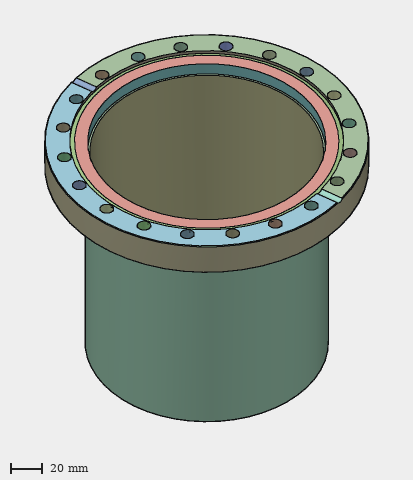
import cadquery as cq
import math

flange_diameter = 203.0
flange_thickness = 22.0
edge_chamfer = 0.5
bore_diameter = 149.0

recess_diameter = 171.3
knife_diameter = 165.5
recess_depth = 2.2
knife_depth = 1.2

bolt_count = 20
bolt_circle_diameter = 181.0
bolt_hole_diameter = 8.5

groove_width = 5.3
groove_depth = 1.2

tube_outer_diameter = 152.5
tube_inner_diameter = 146.4
socket_diameter = 152.9
total_height = 167.0
tube_top_below_face = 9.5

flange_bottom = total_height - flange_thickness
tube_top = total_height - tube_top_below_face


def make_flange_ring():
    """Revolve the flange section: socket, bore, knife edge, recess and rim."""
    rim_radius = flange_diameter / 2
    profile = [
        (socket_diameter / 2, flange_bottom),
        (rim_radius - edge_chamfer, flange_bottom),
        (rim_radius, flange_bottom + edge_chamfer),
        (rim_radius, total_height - edge_chamfer),
        (rim_radius - edge_chamfer, total_height),
        (recess_diameter / 2, total_height),
        (recess_diameter / 2, total_height - recess_depth),
        (knife_diameter / 2, total_height - knife_depth),
        (bore_diameter / 2, total_height - knife_depth),
        (bore_diameter / 2, tube_top),
        (socket_diameter / 2, tube_top),
    ]
    return cq.Workplane("XZ").polyline(profile).close().revolve(360, (0, 0, 0), (0, 1, 0))


def make_bolt_holes():
    """Through holes on the bolt circle, straddling the X and Y axes."""
    half_pitch = 180 / bolt_count
    return (
        cq.Workplane("XY")
        .workplane(offset=flange_bottom)
        .polarArray(bolt_circle_diameter / 2, half_pitch, 360, bolt_count)
        .circle(bolt_hole_diameter / 2)
        .extrude(flange_thickness)
    )


def make_groove_cutter(direction):
    """Round-bottomed groove from the recess out through the rim, along +X or -X."""
    groove_radius = ((groove_width / 2) ** 2 + groove_depth ** 2) / (2 * groove_depth)
    axis_height = total_height - groove_depth + groove_radius
    start = math.sqrt((recess_diameter / 2) ** 2 - (groove_width / 2) ** 2)
    return (
        cq.Workplane("YZ")
        .workplane(offset=direction * start)
        .center(0, axis_height)
        .circle(groove_radius)
        .extrude(direction * (flange_diameter / 2 - start))
    )


def make_flange():
    flange = make_flange_ring().cut(make_bolt_holes())
    for direction in (-1, 1):
        flange = flange.cut(make_groove_cutter(direction))
    return flange


def make_tube():
    return (
        cq.Workplane("XY")
        .circle(tube_outer_diameter / 2)
        .circle(tube_inner_diameter / 2)
        .extrude(tube_top)
    )


flange = make_flange()
tube = make_tube()

result = cq.Compound.makeCompound([flange.val(), tube.val()])